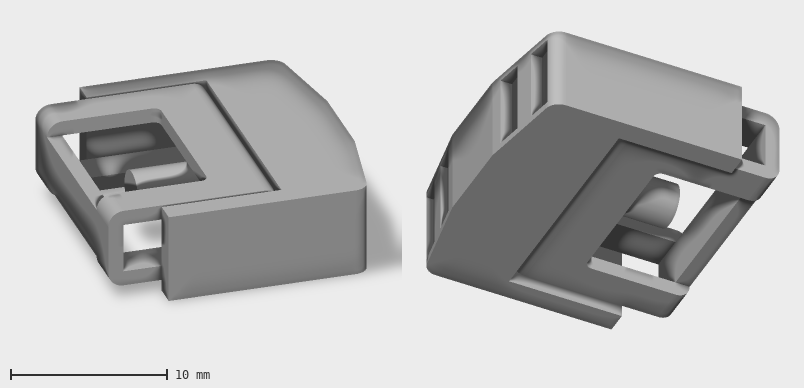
import cadquery as cq
import math

width = 19
height = 6.0
depth = 18.0
arm_thickness = 1.5
arm_front = 3.5
recess_back = 11.5
back_flat_width = 5.85
back_slope = math.radians(10)
corner_radius = 1.0

slot_width = 1.79
slot_inner_edge = 3.8
slot_pitch = 3.23
slot_margin = 0.44
slot_depth = 0.5

clip_gap = 0.2
clip_width = width - 2 * (arm_thickness + clip_gap)
clip_height = 5.34
clip_wall = 1.0
clip_back_wall = 2.0
clip_bottom = height - clip_height
window_width = 10.56
window_back = 7.49
window_radius = 0.5

pin_diameter = 3.0
pin_front = 3.99
pin_height = height / 2


def back_edge(x):
    """Y of the sloping back face at distance x from the middle."""
    return depth - (x - back_flat_width / 2) * math.tan(back_slope)


def make_housing():
    half = width / 2
    shoulder = back_edge(half)
    body = (
        cq.Workplane("XY")
        .moveTo(-half, arm_front)
        .lineTo(half, arm_front)
        .lineTo(half, shoulder)
        .lineTo(back_flat_width / 2, depth)
        .lineTo(-back_flat_width / 2, depth)
        .lineTo(-half, shoulder)
        .close()
        .extrude(height)
    )
    for side in (-half, half):
        corner = cq.selectors.NearestToPointSelector((side, shoulder, height / 2))
        body = body.edges(corner).fillet(corner_radius)
    recess = (
        cq.Workplane("XY")
        .rect(width - 2 * arm_thickness, 2 * recess_back)
        .extrude(height)
    )
    return body.cut(recess)


def make_grip_slots():
    slots = cq.Workplane("XY")
    for side in (-1, 1):
        for index in range(2):
            inner = slot_inner_edge + index * slot_pitch
            outer = inner + slot_width
            floor = back_edge(outer) - slot_depth
            slot = (
                cq.Workplane("XY", origin=(0, 0, slot_margin))
                .moveTo(side * inner, floor)
                .lineTo(side * outer, floor)
                .lineTo(side * outer, depth)
                .lineTo(side * inner, depth)
                .close()
                .extrude(height - 2 * slot_margin)
            )
            slots = slots.add(slot)
    return slots.combine()


def make_clip():
    clip = (
        cq.Workplane("XY", origin=(0, recess_back / 2, clip_bottom))
        .box(clip_width, recess_back, clip_height, centered=(True, True, False))
        .edges("|X")
        .fillet(clip_wall)
    )
    opening_height = clip_height - 2 * clip_wall
    opening_length = recess_back - clip_wall - clip_back_wall
    wall_bottom = clip_bottom + clip_wall
    loop_opening = (
        cq.Workplane("XY", origin=(0, clip_wall, wall_bottom))
        .box(clip_width, opening_length, opening_height, centered=(True, False, False))
    )
    window = (
        cq.Workplane("XY")
        .rect(window_width, 2 * window_back)
        .extrude(height)
        .edges("|Z")
        .fillet(window_radius)
    )
    front_wall = (
        cq.Workplane("XY", origin=(0, 0, wall_bottom))
        .box(window_width, clip_wall, opening_height, centered=(True, False, False))
    )
    return clip.cut(loop_opening).cut(window).union(front_wall)


def make_pin():
    return (
        cq.Workplane("XZ", origin=(0, recess_back, pin_height))
        .circle(pin_diameter / 2)
        .extrude(recess_back - pin_front)
    )


result = make_housing().cut(make_grip_slots()).union(make_clip()).union(make_pin())